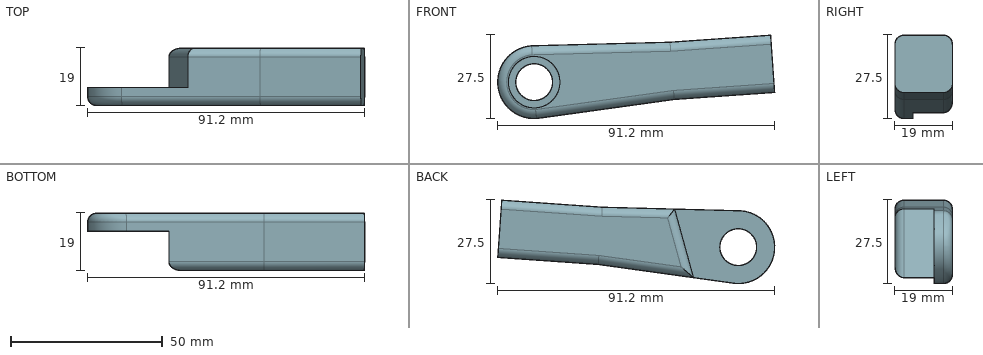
import cadquery as cq
import math

depth = 19.0
plate_thickness = 6.0
eye_radius = 12.0
hole_diameter = 12.0
counterbore_diameter = 17.0
counterbore_depth = 3.0
edge_radius = 3.0

tilt = 4.0
bend_along = 45.6
end_along = 78.8
handle_top = 10.0
handle_bottom = -8.9

shoulder_foot_x = 14.8
shoulder_foot_z = -9.85
shoulder_lean = 15.4
cut_margin = 18.2


def tilted(along, across):
    """Convert handle-aligned coordinates to (X, Z)."""
    a = math.radians(tilt)
    return (
        along * math.cos(a) - across * math.sin(a),
        along * math.sin(a) + across * math.cos(a),
    )


def front_plane():
    """XZ plane whose extrusion direction is -Y; negative distances go +Y."""
    return cq.Workplane(cq.Plane(origin=(0, 0, 0), xDir=(1, 0, 0), normal=(0, -1, 0)))


def arm_body():
    """Bent arm with a half-round eye end, at full depth."""
    return (
        front_plane()
        .moveTo(*tilted(0, eye_radius))
        .lineTo(*tilted(bend_along, handle_top))
        .lineTo(*tilted(end_along, handle_top))
        .lineTo(*tilted(end_along, handle_bottom))
        .lineTo(*tilted(bend_along, handle_bottom))
        .lineTo(*tilted(0, -eye_radius))
        .threePointArc(tilted(-eye_radius, 0), tilted(0, eye_radius))
        .close()
        .extrude(-depth)
    )


def shoulder_cutter():
    """Space behind the eye plate, bounded by the sloping shoulder."""
    slope = math.tan(math.radians(shoulder_lean))
    low_z = -eye_radius - cut_margin
    high_z = eye_radius + cut_margin
    left_x = -eye_radius - cut_margin
    low_x = shoulder_foot_x + (low_z - shoulder_foot_z) * slope
    high_x = shoulder_foot_x + (high_z - shoulder_foot_z) * slope
    return (
        front_plane()
        .workplane(offset=-plate_thickness)
        .polyline([(left_x, low_z), (low_x, low_z), (high_x, high_z), (left_x, high_z)])
        .close()
        .extrude(-depth)
    )


def rim_edges(body, face, end_x):
    """Edges around a flat face, leaving the square end sharp."""
    edges = body.faces(face).edges().vals()
    return [edge for edge in edges if edge.Center().x < end_x]


def round_rims(body):
    """Round the outer rims of the front and back faces."""
    end_x = tilted(end_along, handle_top)[0]
    for face in ("<Y", ">Y"):
        body = body.newObject(rim_edges(body, face, end_x)).fillet(edge_radius)
    return body


def eye_hole(diameter, length):
    """Round cutter on the eye axis, starting at the front face."""
    return front_plane().circle(diameter / 2).extrude(-length)


result = round_rims(arm_body().cut(shoulder_cutter()))
result = result.cut(eye_hole(hole_diameter, plate_thickness))
result = result.cut(eye_hole(counterbore_diameter, counterbore_depth))